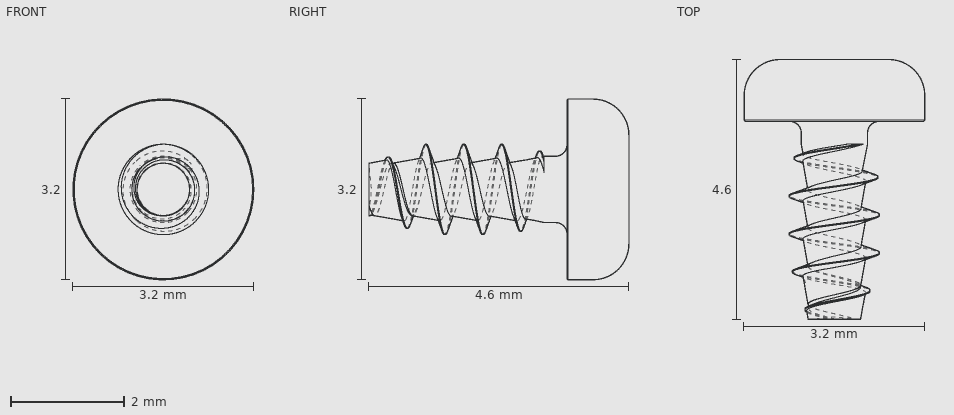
import cadquery as cq
import math

total_length = 4.6
head_radius = 1.6
head_height = 1.1
head_round = 0.64
head_edge_chamfer = 0.025

neck_radius = 0.59
neck_fillet = 0.2
neck_end = 3.1
neck_taper_length = 0.645

pitch = 0.67
core_wide_radius = 0.57
core_narrow_radius = 0.47
core_inner_radius = 0.46
core_overlap = 0.028
taper_length = 0.57
tip_radius = 0.465
tip_cone_slope = 0.19
dimple_radius = 0.432
dimple_depth = 0.045

thread_radius = 0.8
thread_start_radius = 0.655
thread_depth = 0.385
thread_root_width = 0.265
thread_crest_width = 0.02
thread_turns = 4.75
lead_in_turns = 1.25
run_out_turns = 1.5
thread_start_angle = math.pi / 2
thread_start_y = thread_turns * pitch
points_per_turn = 24
segment_turns = 0.5

head_bottom = total_length - head_height


def crest_radius(turn):
    """Crest radius after a number of turns from the head: lead-in, full thread, run-out."""
    lead_in = thread_start_radius + (thread_radius - thread_start_radius) * turn / lead_in_turns
    run_out = tip_radius + (thread_radius - tip_radius) * (thread_turns - turn) / run_out_turns
    return min(lead_in, thread_radius, run_out)


def helix_point(turn, radius, y_shift):
    """Point on the right-hand helix, which advances towards the tip."""
    angle = thread_start_angle - 2 * math.pi * turn
    y = thread_start_y - pitch * turn + y_shift
    return cq.Vector(radius * math.sin(angle), y, radius * math.cos(angle))


def helical_solid(profile_at, first_turn, last_turn):
    """Solid swept by the (radius, Y shift) corners of profile_at(turn)."""
    steps = round((last_turn - first_turn) * points_per_turn)
    sections = []
    for step in range(steps + 1):
        turn = first_turn + (last_turn - first_turn) * step / steps
        sections.append([helix_point(turn, *corner) for corner in profile_at(turn)])
    rails = [cq.Edge.makeSpline(list(points)) for points in zip(*sections)]
    faces = [cq.Face.makeRuledSurface(a, b) for a, b in zip(rails, rails[1:] + rails[:1])]
    for section in (sections[0], sections[-1]):
        faces.append(cq.Face.makeFromWires(cq.Wire.makePolygon(section, close=True)))
    solid = cq.Solid.makeSolid(cq.Shell.makeShell(faces))
    return cq.Workplane(obj=solid.fix())


def add_helix(body, profile_at, first_turn, last_turn):
    """Join a helical solid to the body in short segments, which keeps each union simple."""
    turn = first_turn
    while turn < last_turn:
        segment_end = min(turn + segment_turns, last_turn)
        body = body.union(helical_solid(profile_at, turn, segment_end), clean=False)
        turn = segment_end
    return body


def taper_profile(turn):
    base_radius = core_inner_radius - core_overlap
    return [
        (base_radius, 0),
        (core_wide_radius, 0),
        (core_narrow_radius, -taper_length),
        (base_radius, -taper_length),
    ]


def thread_profile(turn):
    crest = crest_radius(turn)
    root = crest - thread_depth
    return [
        (root, thread_root_width / 2),
        (crest, thread_crest_width / 2),
        (crest, -thread_crest_width / 2),
        (root, -thread_root_width / 2),
    ]


def revolve_about_y(outline):
    return outline.close().revolve(360, (0, 0, 0), (0, 1, 0))


def make_head_and_neck():
    arc_offset = head_round * math.sqrt(0.5)
    round_center_r = head_radius - head_round
    round_center_y = total_length - head_round
    fillet_center_r = neck_radius + neck_fillet
    fillet_center_y = head_bottom - neck_fillet
    fillet_offset = neck_fillet * math.sqrt(0.5)
    return revolve_about_y(
        cq.Workplane("XY")
        .moveTo(0, neck_end - neck_taper_length)
        .lineTo(core_inner_radius, neck_end - neck_taper_length)
        .lineTo(neck_radius, neck_end)
        .lineTo(neck_radius, fillet_center_y)
        .threePointArc(
            (fillet_center_r - fillet_offset, fillet_center_y + fillet_offset),
            (fillet_center_r, head_bottom),
        )
        .lineTo(head_radius - head_edge_chamfer, head_bottom)
        .lineTo(head_radius, head_bottom + head_edge_chamfer)
        .lineTo(head_radius, round_center_y)
        .threePointArc(
            (round_center_r + arc_offset, round_center_y + arc_offset),
            (round_center_r, total_length),
        )
        .lineTo(0, total_length)
    )


def make_core():
    """Helically tapered core, trimmed by a cone at the tip."""
    core = revolve_about_y(
        cq.Workplane("XY")
        .lineTo(core_inner_radius, 0)
        .lineTo(core_inner_radius, head_bottom)
        .lineTo(0, head_bottom)
    )
    core = add_helix(core, taper_profile, -0.5, thread_turns + 0.5)
    cone_top_radius = tip_radius + tip_cone_slope * head_bottom
    envelope = revolve_about_y(
        cq.Workplane("XY")
        .lineTo(tip_radius, 0)
        .lineTo(cone_top_radius, head_bottom)
        .lineTo(0, head_bottom)
    )
    return core.intersect(envelope)


def cut_thread_start(body):
    """Cut the first turn off flat where the neck ends."""
    clearance = (
        cq.Workplane("XZ", origin=(0, neck_end, 0))
        .circle(thread_radius)
        .circle(neck_radius)
        .extrude(-(head_bottom - neck_fillet - neck_end))
    )
    return body.cut(clearance)


def cut_tip(body):
    """Cut the thread off flat at the tip and sink the shallow conical dimple."""
    below_tip = cq.Workplane("XZ").rect(2 * head_radius, 2 * head_radius).extrude(pitch)
    dimple = revolve_about_y(cq.Workplane("XY").lineTo(dimple_radius, 0).lineTo(0, dimple_depth))
    return body.cut(below_tip).cut(dimple)


screw = make_head_and_neck().union(make_core())
screw = add_helix(screw, thread_profile, 0, thread_turns)
result = cut_tip(cut_thread_start(screw))